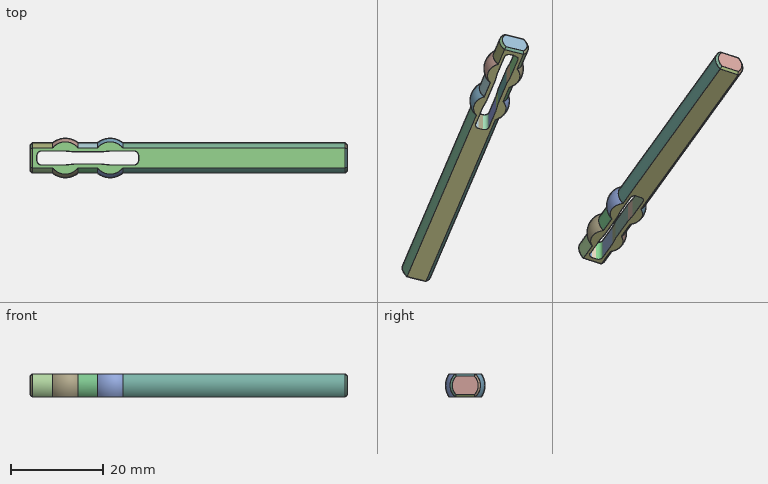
import cadquery as cq

length = 68.75
thickness = 5.0
rod_diameter = 6.6
end_chamfer = 0.5

ball_diameter = 8.6
ball_spacing = 9.7

slot_start = 1.5
slot_length = 22.0
slot_width = 3.0
slot_corner_radius = 1.0
waist_width = 2.6
waist_length = 6.0
waist_taper_length = 2.0

slot_center = slot_start + slot_length / 2
ball_positions = [slot_center - ball_spacing / 2, slot_center + ball_spacing / 2]


def make_rod():
    """Chamfered rod with its flats, so the chamfer also runs along the flat ends."""
    rod = cq.Workplane("YZ").circle(rod_diameter / 2).extrude(length)
    flats = cq.Workplane("XY").box(length, rod_diameter, thickness).translate((length / 2, 0, 0))
    return rod.intersect(flats).faces("<X or >X").chamfer(end_chamfer)


def make_ball(x):
    """Ball cut off level with the flats of the rod."""
    ball = cq.Workplane("XY").sphere(ball_diameter / 2)
    flats = cq.Workplane("XY").box(ball_diameter, ball_diameter, thickness)
    return ball.intersect(flats).translate((x, 0, 0))


def make_slot():
    """Rounded slot whose two long walls step in to a narrower waist."""
    slot = (
        cq.Workplane("XY")
        .box(slot_length, slot_width, thickness)
        .edges("|Z")
        .fillet(slot_corner_radius)
    )
    waist_end = waist_length / 2
    taper_end = waist_end + waist_taper_length
    for side in (1, -1):
        wall = side * slot_width / 2
        waist_wall = side * waist_width / 2
        rib = (
            cq.Workplane("XY")
            .moveTo(-taper_end, wall)
            .lineTo(-waist_end, waist_wall)
            .lineTo(waist_end, waist_wall)
            .lineTo(taper_end, wall)
            .close()
            .extrude(thickness / 2, both=True)
        )
        slot = slot.cut(rib)
    return slot.translate((slot_center, 0, 0))


result = make_rod()
for ball_x in ball_positions:
    result = result.union(make_ball(ball_x))
result = result.cut(make_slot())